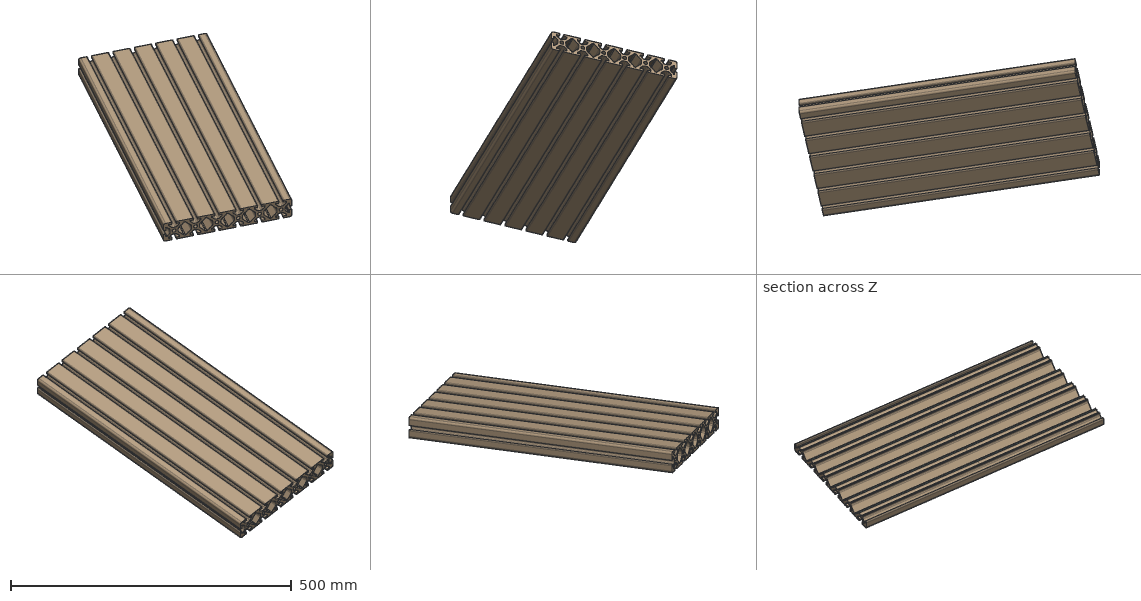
import cadquery as cq

LENGTH = 500.0
MODULE = 40.0
MODULE_COUNT = 6
WIDTH = MODULE * MODULE_COUNT
HEIGHT = MODULE
CORNER_RADIUS = 4.0

SLOT_OPENING = 8.0
SLOT_CAVITY_WIDTH = 19.6
LIP_THICKNESS = 4.5
LIP_OUTER_RADIUS = 1.5
LIP_INNER_RADIUS = 1.0
CORE_HALF = 7.5
CORE_BLEND_RADIUS = 4.0

STRUT_OFFSET = 3.7

CHAMBER_WALL = 5.0
CORE_BORE_DIAMETER = 6.8

MODULE_CENTERS = [(i - (MODULE_COUNT - 1) / 2) * MODULE for i in range(MODULE_COUNT)]
CHAMBER_CENTERS = [(i - (MODULE_COUNT - 2) / 2) * MODULE for i in range(MODULE_COUNT - 1)]


def extrude_along_x(sketch):
    """Extrude a YZ sketch over the full length, centred on X = 0."""
    return sketch.extrude(LENGTH / 2, both=True)


def make_bar():
    """Solid bar with rounded long edges."""
    return cq.Workplane("XY").box(LENGTH, WIDTH, HEIGHT).edges("|X").fillet(CORNER_RADIUS)


def make_slot():
    """T-slot cutter opening toward +Z, for a module centred on the X axis.

    Its walls slope along the struts, and the lips are rounded inside and out.
    """
    face = MODULE / 2
    mouth = SLOT_OPENING / 2
    cavity = SLOT_CAVITY_WIDTH / 2
    lip_bottom = face - LIP_THICKNESS
    floor = CORE_HALF - STRUT_OFFSET
    rim = mouth + LIP_OUTER_RADIUS
    underside = mouth + LIP_INNER_RADIUS
    throat = lip_bottom + LIP_INNER_RADIUS
    sketch = (
        cq.Workplane("YZ")
        .moveTo(-floor, CORE_HALF)
        .lineTo(floor, CORE_HALF)
        .lineTo(cavity, cavity + STRUT_OFFSET)
        .lineTo(cavity, lip_bottom)
        .lineTo(underside, lip_bottom)
        .radiusArc((mouth, throat), LIP_INNER_RADIUS)
        .lineTo(mouth, face - LIP_OUTER_RADIUS)
        .radiusArc((rim, face), LIP_OUTER_RADIUS)
        .lineTo(-rim, face)
        .radiusArc((-mouth, face - LIP_OUTER_RADIUS), LIP_OUTER_RADIUS)
        .lineTo(-mouth, throat)
        .radiusArc((-underside, lip_bottom), LIP_INNER_RADIUS)
        .lineTo(-cavity, lip_bottom)
        .lineTo(-cavity, cavity + STRUT_OFFSET)
        .close()
    )
    return extrude_along_x(sketch).faces("<Z").edges("|X").fillet(CORE_BLEND_RADIUS)


def make_chamber():
    """Eight-sided chamber cutter centred on the X axis."""
    half_width = MODULE / 2 - CORE_HALF
    half_height = HEIGHT / 2 - CHAMBER_WALL
    side = CORE_HALF - STRUT_OFFSET
    top = MODULE / 2 - STRUT_OFFSET - half_height
    sketch = cq.Workplane("YZ").polyline(
        [
            (half_width, -side),
            (half_width, side),
            (top, half_height),
            (-top, half_height),
            (-half_width, side),
            (-half_width, -side),
            (-top, -half_height),
            (top, -half_height),
        ]
    ).close()
    chamber = extrude_along_x(sketch)
    for side_face in ("<Y", ">Y"):
        chamber = chamber.faces(side_face).edges("|X").fillet(CORE_BLEND_RADIUS)
    return chamber


def cut_slots(bar):
    """Slots on both broad faces of every module and on the two narrow sides."""
    slot = make_slot()
    for y in MODULE_CENTERS:
        for angle in (0, 180):
            bar = bar.cut(slot.rotate((0, 0, 0), (1, 0, 0), angle).translate((0, y, 0)))
    for y, angle in ((MODULE_CENTERS[0], 90), (MODULE_CENTERS[-1], -90)):
        bar = bar.cut(slot.rotate((0, 0, 0), (1, 0, 0), angle).translate((0, y, 0)))
    return bar


def cut_chambers(bar):
    """One through chamber between each pair of neighbouring modules."""
    chamber = make_chamber()
    for y in CHAMBER_CENTERS:
        bar = bar.cut(chamber.translate((0, y, 0)))
    return bar


def cut_core_bores(bar):
    """Round through bore along the axis of every module."""
    centers = [(y, 0) for y in MODULE_CENTERS]
    sketch = cq.Workplane("YZ").pushPoints(centers).circle(CORE_BORE_DIAMETER / 2)
    return bar.cut(extrude_along_x(sketch))


result = cut_core_bores(cut_chambers(cut_slots(make_bar())))